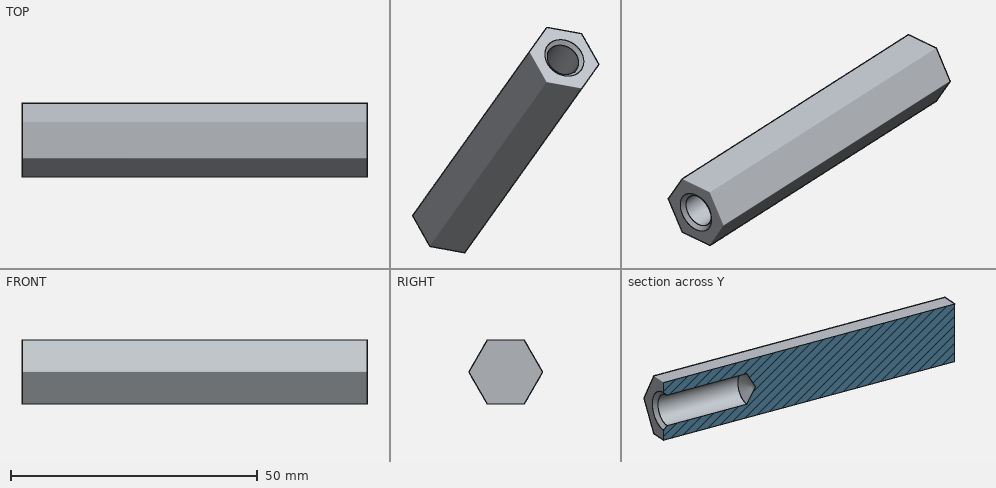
import cadquery as cq
import math

length = 70.0
across_flats = 13.0
edge_radius = 0.1

hole_diameter = 6.75
hole_depth = 20.0
drill_point_angle = 118.0
countersink_diameter = 8.4
countersink_angle = 90.0


def cone_length(radius_change, included_angle):
    """Axial length over which a cone's radius changes by the given amount."""
    return radius_change / math.tan(math.radians(included_angle / 2))


def hexagonal_bar():
    """Bar with flats on +Z and -Z and all of its outer edges lightly rounded."""
    across_corners = across_flats / math.cos(math.pi / 6)
    bar = cq.Workplane("YZ").polygon(6, across_corners).extrude(length)
    return bar.edges().fillet(edge_radius)


def drilled_hole():
    """Countersunk hole with a conical drill point, starting at X = 0."""
    hole_radius = hole_diameter / 2
    countersink_radius = countersink_diameter / 2
    countersink_depth = cone_length(countersink_radius - hole_radius, countersink_angle)
    point_length = cone_length(hole_radius, drill_point_angle)
    half_section = (
        cq.Workplane("XY")
        .moveTo(0, 0)
        .lineTo(0, countersink_radius)
        .lineTo(countersink_depth, hole_radius)
        .lineTo(hole_depth, hole_radius)
        .lineTo(hole_depth + point_length, 0)
        .close()
    )
    return half_section.revolve(360, (0, 0, 0), (1, 0, 0))


result = hexagonal_bar().cut(drilled_hole())